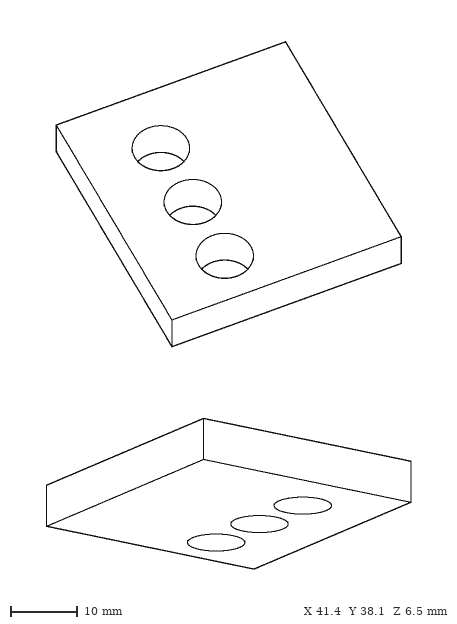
import cadquery as cq

plate_length = 41.4
plate_width = 38.1
plate_thickness = 6.5

hole_diameter = 8.65
hole_count = 3
hole_pitch = 11.43
first_hole_x = 10.7
hole_row_y = 12.4

hole_centers = [(first_hole_x + i * hole_pitch, hole_row_y) for i in range(hole_count)]

plate = cq.Workplane("XY").box(plate_length, plate_width, plate_thickness, centered=False)

hole_cutters = (
    cq.Workplane("XY")
    .pushPoints(hole_centers)
    .circle(hole_diameter / 2)
    .extrude(plate_thickness)
)

result = plate.cut(hole_cutters)